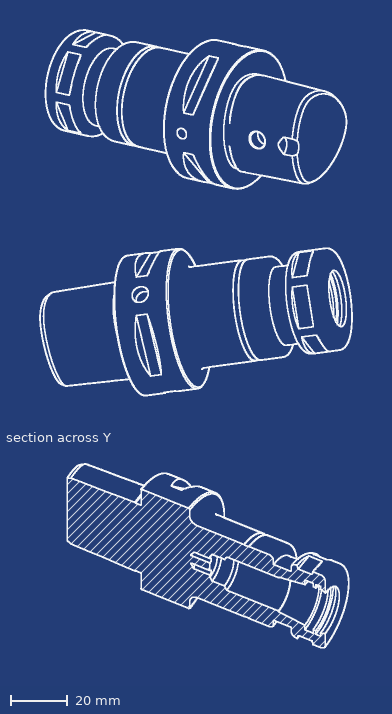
import cadquery as cq
import math


clearance = 1.0

drill_point_angle = 118.0

nut_end = 14.0
nut_radius = 18.2
nut_front_fillet = 2.0
nut_back_fillet = 2.25
nut_flat_count = 6
nut_flat_distance = 16.6
nut_flat_start = 5.5
nut_flat_end = 10.95
nut_flat_draft = 17.0

neck_radius = 14.0
body_start = 21.0
body_radius = 18.0
body_fillet = 2.0
band_start = 31.0
band_end = 33.0
band_depth = 0.15

flange_start = 55.0
flange_end = 75.0
flange_radius = 25.0
flange_front_chamfer = 0.5
flange_back_chamfer = 0.3
flange_root_fillet = 3.0

slot_count = 4
slot_first_angle = 45.0
slot_center = 65.0
slot_floor_width = 4.0
slot_floor_distance = 22.15
slot_wall_angle = 30.0

marker_center = 63.0
marker_diameter = 4.0
marker_cone_angle = 90.0
pocket_center = 65.2
pocket_diameter = 6.0
pocket_depth = 4.5

shank_end = 105.0
shank_start = 77.35
shank_gauge_radius = 17.5
shank_eccentricity = 1.12
shank_taper = 1 / 40
shank_chamfer_start = 103.4
shank_chamfer_height = 0.8
shank_points = 24

neck_gauge_radius = 17.1
neck_eccentricity = 0.8
undercut_ramp_start = 77.1

side_hole_center = 89.0
side_hole_diameter = 6.1
side_hole_rim_diameter = 6.8
side_hole_depth = 5.0
keyway_diameter = 7.4
keyway_start = 99.9
keyway_axis_y = -17.35
keyway_end_angle = 90.0

mouth_radius = 10.0
mouth_cone_end = 2.0
mouth_cone_radius = 10.9
recess_radius = 12.25
nut_ridge_start = 3.83
nut_ridge_end = 4.95
nut_ridge_radius = 10.6

seat_start = 8.32
seat_start_radius = 10.0
seat_end_radius = 8.5
seat_cone_angle = 16.0
drilled_radius = 8.15
drilled_end = 40.0
step_radius = 6.5
step_length = 5.0
floor_radius = 5.0

coolant_diameter = 2.0
coolant_offset = 3.0
coolant_depth = 6.0


def revolve_about_x(profile):
    return profile.close().revolve(360, (0, 0, 0), (1, 0, 0))


def make_body():
    nut = cq.Workplane("YZ").circle(nut_radius).extrude(nut_end)
    nut = nut.faces("<X").edges().fillet(nut_front_fillet)
    nut = nut.faces(">X").edges().fillet(nut_back_fillet)
    neck = cq.Workplane("YZ").circle(neck_radius).extrude(flange_start)
    fillet_start = flange_start - flange_root_fillet
    fillet_top = body_radius + flange_root_fillet
    front = flange_front_chamfer
    back = flange_back_chamfer
    fillet_reach = flange_root_fillet * math.sqrt(0.5)
    body = revolve_about_x(
        cq.Workplane("XY")
        .moveTo(body_start, 0)
        .lineTo(body_start, body_radius - body_fillet)
        .radiusArc((body_start + body_fillet, body_radius), body_fillet)
        .lineTo(band_start, body_radius)
        .lineTo(band_start, body_radius - band_depth)
        .lineTo(band_end, body_radius - band_depth)
        .lineTo(band_end, body_radius)
        .lineTo(fillet_start, body_radius)
        .threePointArc(
            (fillet_start + fillet_reach, fillet_top - fillet_reach),
            (flange_start, fillet_top),
        )
        .lineTo(flange_start, flange_radius - front)
        .lineTo(flange_start + front, flange_radius)
        .lineTo(flange_end - back, flange_radius)
        .lineTo(flange_end, flange_radius - back)
        .lineTo(flange_end, 0)
    )
    return nut.union(neck).union(body)


def trilobe(x, radius, eccentricity):
    def point(t):
        return cq.Vector(
            x,
            radius * math.cos(t) + 2 * eccentricity * math.cos(2 * t) - eccentricity * math.cos(4 * t),
            radius * math.sin(t) - 2 * eccentricity * math.sin(2 * t) - eccentricity * math.sin(4 * t),
        )

    points = [point(2 * math.pi * i / shank_points) for i in range(shank_points)]
    return cq.Wire.assembleEdges([cq.Edge.makeSpline(points, periodic=True)])


def shank_radius(x):
    return shank_gauge_radius - (x - flange_end) * shank_taper


def make_shank():
    neck_foot = trilobe(flange_end - clearance, neck_gauge_radius, neck_eccentricity)
    neck_top = trilobe(undercut_ramp_start, neck_gauge_radius, neck_eccentricity)
    taper_foot = trilobe(shank_start, shank_radius(shank_start), shank_eccentricity)
    taper_top = trilobe(shank_chamfer_start, shank_radius(shank_chamfer_start), shank_eccentricity)
    tip = trilobe(shank_end, shank_radius(shank_end) - shank_chamfer_height, shank_eccentricity)
    outlines = [neck_foot, neck_top, taper_foot, taper_top, tip]
    shank = cq.Workplane()
    for lower, upper in zip(outlines, outlines[1:]):
        shank = shank.add(cq.Solid.makeLoft([lower, upper], True))
    return shank.combine()


def cone_length(radius_change, cone_angle=drill_point_angle):
    return radius_change / math.tan(math.radians(cone_angle / 2))


def drill(point, direction, diameter, depth, point_angle=drill_point_angle):
    radius = diameter / 2
    tip = cone_length(radius, point_angle)
    start = cq.Vector(*point)
    axis = cq.Vector(*direction)
    hole = cq.Solid.makeCylinder(radius, depth, start, axis)
    cone = cq.Solid.makeCone(radius, 0, tip, start + axis * depth, axis)
    return cq.Workplane(hole.fuse(cone))


def trapezoid_cutter(center_x, floor_width, floor, top, wall_angle):
    spread = (top - floor) * math.tan(math.radians(wall_angle))
    half = floor_width / 2
    return (
        cq.Workplane("XZ")
        .polyline([
            (center_x - half, floor),
            (center_x + half, floor),
            (center_x + half + spread, top),
            (center_x - half - spread, top),
        ])
        .close()
        .extrude(flange_radius, both=True)
    )


def cut_around(part, cutter, count, first_angle):
    for i in range(count):
        part = part.cut(cutter.rotate((0, 0, 0), (1, 0, 0), first_angle + i * 360 / count))
    return part


def cut_nut_flats(part):
    width = nut_flat_end - nut_flat_start
    center = (nut_flat_start + nut_flat_end) / 2
    cutter = trapezoid_cutter(center, width, nut_flat_distance, nut_radius + clearance, nut_flat_draft)
    return cut_around(part, cutter, nut_flat_count, 0)


def cut_slots(part):
    cutter = trapezoid_cutter(
        slot_center, slot_floor_width, slot_floor_distance, flange_radius + clearance, slot_wall_angle)
    return cut_around(part, cutter, slot_count, slot_first_angle)


def cut_flange_holes(part):
    marker_radius = marker_diameter / 2
    marker = cq.Solid.makeCone(
        marker_radius, 0, cone_length(marker_radius, marker_cone_angle),
        cq.Vector(marker_center, -flange_radius, 0), cq.Vector(0, 1, 0))
    pocket = cq.Solid.makeCylinder(
        pocket_diameter / 2, pocket_depth + clearance,
        cq.Vector(pocket_center, flange_radius + clearance, 0), cq.Vector(0, -1, 0))
    return part.cut(cq.Workplane(marker)).cut(cq.Workplane(pocket))


def cut_shank_holes(part):
    surface_y = shank_eccentricity - shank_radius(side_hole_center)
    rim_depth = (side_hole_rim_diameter - side_hole_diameter) / 2
    rim = cq.Solid.makeCone(
        side_hole_rim_diameter / 2, side_hole_diameter / 2, rim_depth,
        cq.Vector(side_hole_center, surface_y, 0), cq.Vector(0, 1, 0))
    part = part.cut(cq.Workplane(rim))
    part = part.cut(drill(
        (side_hole_center, surface_y - clearance, 0), (0, 1, 0), side_hole_diameter, side_hole_depth + clearance))
    return part.cut(drill(
        (shank_end, keyway_axis_y, 0), (-1, 0, 0), keyway_diameter, shank_end - keyway_start, keyway_end_angle))


def cut_bore(part):
    seat_end = seat_start + cone_length(seat_start_radius - seat_end_radius, seat_cone_angle)
    step_start = drilled_end + cone_length(drilled_radius - step_radius)
    step_end = step_start + step_length
    bore_floor = step_end + cone_length(step_radius - floor_radius)
    bore = revolve_about_x(
        cq.Workplane("XY").polyline([
            (0, 0),
            (0, mouth_radius),
            (mouth_cone_end, mouth_cone_radius),
            (mouth_cone_end, recess_radius),
            (nut_ridge_start, recess_radius),
            (nut_ridge_start, nut_ridge_radius),
            (nut_ridge_end, nut_ridge_radius),
            (nut_ridge_end, recess_radius),
            (seat_start, recess_radius),
            (seat_start, seat_start_radius),
            (seat_end, seat_end_radius),
            (seat_end, drilled_radius),
            (drilled_end, drilled_radius),
            (step_start, step_radius),
            (step_end, step_radius),
            (bore_floor, floor_radius),
            (bore_floor, 0),
        ])
    )
    part = part.cut(bore)
    envelope = drill((bore_floor, 0, 0), (1, 0, 0), 2 * floor_radius, coolant_depth)
    holes = (
        cq.Workplane("YZ", origin=(bore_floor, 0, 0))
        .pushPoints([(0, -coolant_offset), (0, coolant_offset)])
        .circle(coolant_diameter / 2)
        .extrude(coolant_depth + cone_length(floor_radius))
    )
    return part.cut(holes.intersect(envelope))


result = make_body().union(make_shank())
result = cut_nut_flats(result)
result = cut_slots(result)
result = cut_flange_holes(result)
result = cut_shank_holes(result)
result = cut_bore(result)